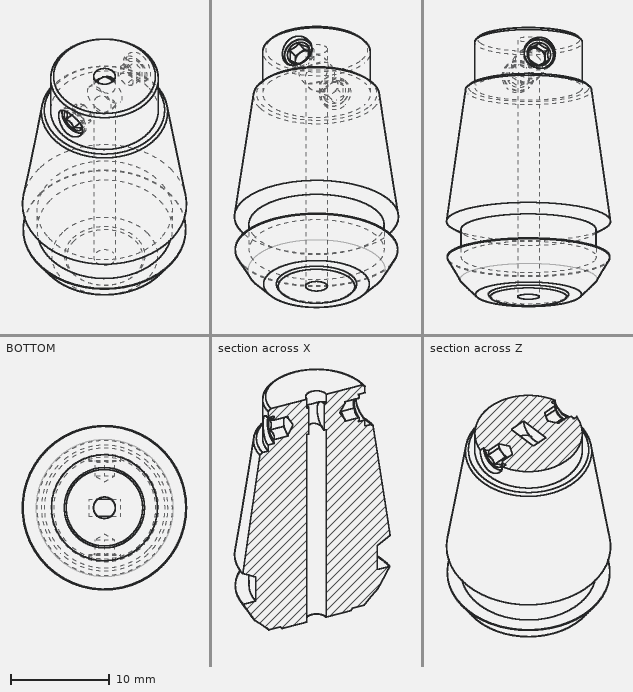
import cadquery as cq
import math

total_height = 27.0

shank_diameter = 11.0
shank_bottom = 21.95
edge_chamfer = 0.3
shoulder_chamfer_height = 0.25

taper_angle = 8.0
body_diameter = 16.76
body_bottom = 7.9

groove_diameter = 13.8
groove_top_slope = 30.0
groove_bottom = 4.2

flange_diameter = 16.6
flange_rim_height = 0.1
flange_slope = 60.0
nose_knee_height = 1.85
nose_slope = 45.0
nose_bottom = 0.25

disc_diameter = 8.2
disc_chamfer = 0.2

bore_diameter = 2.2

screw_diameter = 3.24
screw_height = 24.3
screw_face_offset = 4.85
screw_tip_offset = 0.85
screw_face_chamfer = 0.1
socket_across_flats = 2.0
socket_depth = 1.6
socket_mouth_diameter = 2.45
drill_point_angle = 120.0


def rise(run, angle):
    """Height gained over a radial run on a slope measured from horizontal."""
    return run * math.tan(math.radians(angle))


def make_body():
    """Revolved outer form of the collet, without holes."""
    shank_radius = shank_diameter / 2
    body_radius = body_diameter / 2
    groove_radius = groove_diameter / 2
    flange_radius = flange_diameter / 2
    disc_radius = disc_diameter / 2

    taper_top = shank_bottom - shoulder_chamfer_height
    taper_top_radius = body_radius - (taper_top - body_bottom) * math.tan(math.radians(taper_angle))
    groove_top = body_bottom - rise(body_radius - groove_radius, groove_top_slope)
    flange_edge = groove_bottom - flange_rim_height
    knee_radius = flange_radius - (flange_edge - nose_knee_height) / math.tan(math.radians(flange_slope))
    nose_radius = knee_radius - (nose_knee_height - nose_bottom) / math.tan(math.radians(nose_slope))

    outline = [
        (0, 0),
        (disc_radius - disc_chamfer, 0),
        (disc_radius, nose_bottom),
        (nose_radius, nose_bottom),
        (knee_radius, nose_knee_height),
        (flange_radius, flange_edge),
        (flange_radius, groove_bottom),
        (groove_radius, groove_bottom),
        (groove_radius, groove_top),
        (body_radius, body_bottom),
        (taper_top_radius, taper_top),
        (taper_top_radius - edge_chamfer, shank_bottom),
        (shank_radius, shank_bottom),
        (shank_radius, total_height - edge_chamfer),
        (shank_radius - edge_chamfer, total_height),
        (0, total_height),
    ]
    return cq.Workplane("XZ").polyline(outline).close().revolve(360, (0, 0, 0), (0, 1, 0))


def make_inward_cone(base_radius, depth, base_offset):
    """Cone on the screw axis, its base at Y = -base_offset and its tip toward the collet axis."""
    base_centre = cq.Vector(0, -base_offset, screw_height)
    return cq.Workplane(cq.Solid.makeCone(base_radius, 0, depth, base_centre, cq.Vector(0, 1, 0)))


def make_screw():
    """Front clamping screw: hexagon socket in its face, flat tip reaching into the bore."""
    length = screw_face_offset - screw_tip_offset
    face = cq.Workplane("XZ", origin=(0, -screw_face_offset, screw_height))
    shaft = face.circle(screw_diameter / 2).extrude(-length).faces("<Y").chamfer(screw_face_chamfer)

    corner_diameter = socket_across_flats / math.cos(math.pi / 6)
    socket = face.transformed(rotate=(0, 0, 90)).polygon(6, corner_diameter).extrude(-socket_depth)
    floor_radius = socket_across_flats / 2
    point_depth = floor_radius / math.tan(math.radians(drill_point_angle / 2))
    drill_point = make_inward_cone(floor_radius, point_depth, screw_face_offset - socket_depth)
    mouth_radius = socket_mouth_diameter / 2
    mouth = make_inward_cone(mouth_radius, mouth_radius, screw_face_offset)
    return shaft.cut(socket).cut(drill_point).cut(mouth)


def make_collet():
    """Body with its bore, cross hole and both clamping screws."""
    bore = cq.Workplane("XY").circle(bore_diameter / 2).extrude(total_height)
    cross_hole = (
        cq.Workplane("XZ", origin=(0, 0, screw_height))
        .circle(screw_diameter / 2)
        .extrude(shank_diameter, both=True)
    )
    collet = make_body().cut(bore).cut(cross_hole)
    front_screw = make_screw()
    back_screw = front_screw.rotate((0, 0, 0), (0, 0, 1), 180)
    return collet.union(front_screw).union(back_screw)


result = make_collet()